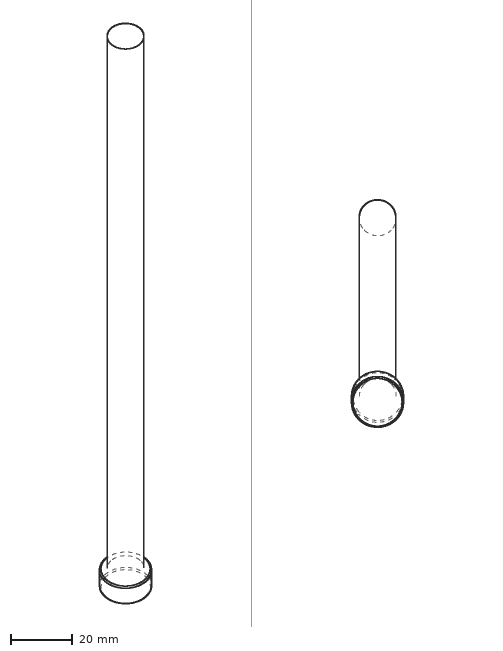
import cadquery as cq

total_length = 250.0
shaft_diameter = 12.0
head_diameter = 17.0
head_height = 8.0
head_edge_chamfer = 0.5
neck_fillet_radius = 0.5

head = (
    cq.Workplane("XY")
    .circle(head_diameter / 2)
    .extrude(head_height)
    .faces("<Z or >Z")
    .chamfer(head_edge_chamfer)
)

shaft = cq.Workplane("XY").circle(shaft_diameter / 2).extrude(total_length)

smallest_circles = cq.selectors.RadiusNthSelector(0)
result = (
    head.union(shaft)
    .edges(smallest_circles)
    .edges("<Z")
    .fillet(neck_fillet_radius)
)